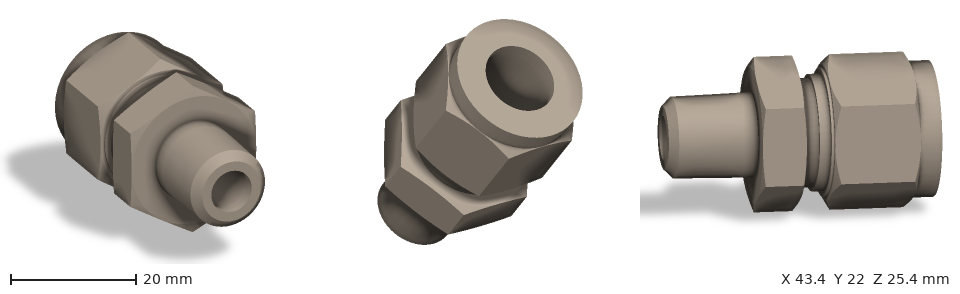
import cadquery as cq
import math


hex_across_flats = 22.0
hex_across_corners = hex_across_flats / math.cos(math.radians(30))
hex_face_diameter = 21.9
nut_chamfer_angle = 30
body_chamfer_angle = 15

nut_hex_start = 3.45
nut_hex_end = 17.4
washer_end = 17.85
collar_end = 19.6
body_hex_start = 22.0
body_hex_end = 29.15
taper_start = 30.08
overall_length = 43.4

washer_diameter = 20.75
collar_diameter = 18.85
neck_diameter = 17.55
stub_diameter = 13.65
taper_end_diameter = 13.15
tip_chamfer = 1.45

tube_socket_diameter = 12.0
tube_socket_depth = 22.8
through_bore_diameter = 7.1


def cylinder(start, end, diameter):
    """Round bar along X between two positions."""
    return cq.Workplane("YZ", origin=(start, 0, 0)).circle(diameter / 2).extrude(end - start)


def chamfered_hexagon(start, end, chamfer_angle):
    """Hexagonal bar along X, corners up and down, with both ends turned to a cone."""
    hexagon = (
        cq.Workplane("YZ", origin=(start, 0, 0))
        .transformed(rotate=(0, 0, 90))
        .polygon(6, hex_across_corners)
        .extrude(end - start)
    )
    face_radius = hex_face_diameter / 2
    envelope_radius = hex_across_corners / 2 + 0.45
    cone_length = (envelope_radius - face_radius) * math.tan(math.radians(chamfer_angle))
    turned_envelope = (
        cq.Workplane("XY")
        .moveTo(start, 0)
        .lineTo(start, face_radius)
        .lineTo(start + cone_length, envelope_radius)
        .lineTo(end - cone_length, envelope_radius)
        .lineTo(end, face_radius)
        .lineTo(end, 0)
        .close()
        .revolve(360, (0, 0, 0), (1, 0, 0))
    )
    return hexagon.intersect(turned_envelope)


def tapered_stub():
    """Straight run, slow taper and chamfered tip at the +X end."""
    chamfer_start = overall_length - tip_chamfer
    stub_radius = stub_diameter / 2
    taper_end_radius = taper_end_diameter / 2
    return (
        cq.Workplane("XY")
        .moveTo(body_hex_end, 0)
        .lineTo(body_hex_end, stub_radius)
        .lineTo(taper_start, stub_radius)
        .lineTo(chamfer_start, taper_end_radius)
        .lineTo(overall_length, taper_end_radius - tip_chamfer)
        .lineTo(overall_length, 0)
        .close()
        .revolve(360, (0, 0, 0), (1, 0, 0))
    )


nut = (
    cylinder(0, nut_hex_start, hex_face_diameter)
    .union(chamfered_hexagon(nut_hex_start, nut_hex_end, nut_chamfer_angle))
    .union(cylinder(nut_hex_end, washer_end, washer_diameter))
)

body = (
    cylinder(washer_end, collar_end, collar_diameter)
    .union(cylinder(collar_end, body_hex_start, neck_diameter))
    .union(chamfered_hexagon(body_hex_start, body_hex_end, body_chamfer_angle))
    .union(tapered_stub())
)

result = (
    nut.union(body)
    .cut(cylinder(0, tube_socket_depth, tube_socket_diameter))
    .cut(cylinder(0, overall_length, through_bore_diameter))
)